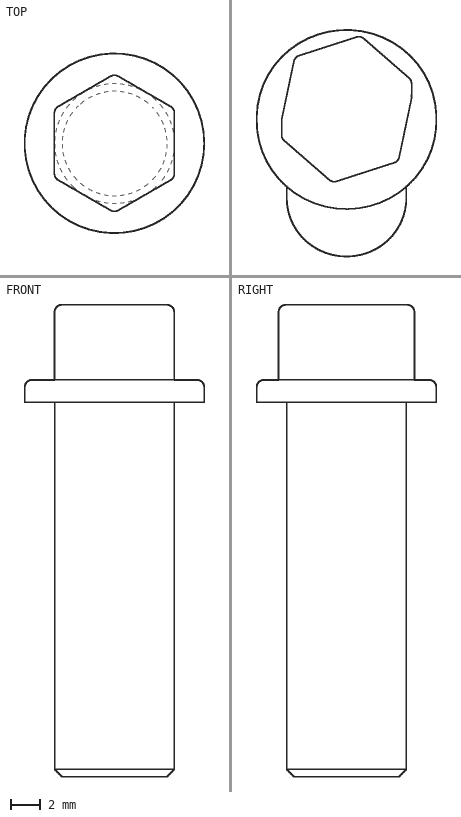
import cadquery as cq
import math

total_length = 31.5
shank_diameter = 8.0
flange_diameter = 12.0
flange_thickness = 1.5
head_height = 5.0
head_across_flats = shank_diameter
edge_round = 0.5
tip_chamfer = 0.5

shank_length = total_length - flange_thickness - head_height
head_across_corners = head_across_flats / math.cos(math.radians(30))


def make_shank():
    """Plain cylindrical shank with a chamfered tip, standing on Z = 0."""
    shank = cq.Workplane("XY").circle(shank_diameter / 2).extrude(shank_length)
    return shank.faces("<Z").chamfer(tip_chamfer)


def make_flange():
    """Round collar with a rounded upper rim."""
    base = cq.Workplane("XY").workplane(offset=shank_length)
    flange = base.circle(flange_diameter / 2).extrude(flange_thickness)
    return flange.faces(">Z").edges().fillet(edge_round)


def make_head():
    """Hexagonal head, corners on the Y axis, rounded on its sides and top."""
    base = cq.Workplane("XY").workplane(offset=shank_length + flange_thickness)
    head = base.transformed(rotate=(0, 0, 90)).polygon(6, head_across_corners).extrude(head_height)
    return head.edges("|Z or >Z").fillet(edge_round)


result = make_shank().union(make_flange()).union(make_head())